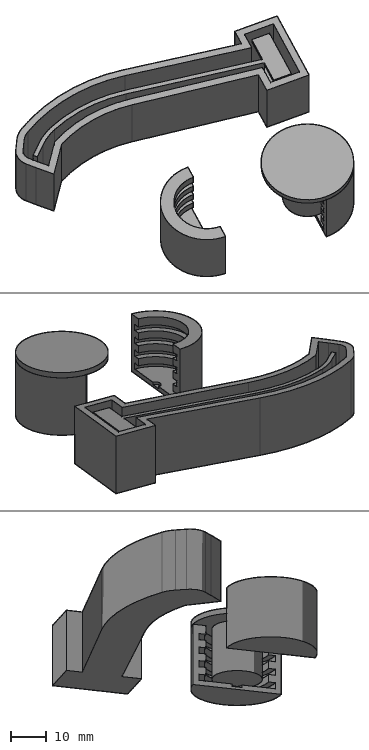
import cadquery as cq
import math


BODY_HEIGHT = 17.9

BLOCK_WIDTH = 22.1
BLOCK_DEPTH = 13.0
WALL = 2.1
LEG_CENTRE = (48.9, -54.5)
LEG_LEFT_RADIUS = 50.1
LEG_RIGHT_RADIUS = 37.95
LEG_LEFT_TILT = 8.8
LEG_RIGHT_TILT = 7.7
LEFT_BEND_END_Y = -82.7
TOE = (15.1, -86.9)
SOLE_ROUNDING = 8.1
TOE_ROUNDING = 5.0
TOE_SIDE_BEND = (20.1, -82.6)
TIP = (24.1, -78.9)
HEEL_Y = -72.8

DIVIDER_DROP = 1.5
PLATE_WIDTH = 15.1
PLATE_THICKNESS = 1.0
PLATE_DEPTH = 5.4
PLATE_LEFT = 3.6
PLATE_BACK = -3.95
FIN_THICKNESS = 1.3
FIN_START_X = 11.6
FIN_BEND_START = (5.7, -48.9)
FIN_BEND_END = (8.75, -72.4)
FIN_CURL_END = (12.5, -77.8)
FIN_END = (15.45, -80.8)

CASE_RADIUS = 13.0
CASE_BORE_RADIUS = 9.2
CASE_FLOOR = 1.5
CASE_X = 50.05
FRONT_CASE_Y = -43.7
AXLE_RECESS_RADIUS = 1.5
AXLE_RECESS_DEPTH = CASE_FLOOR / 2
GROOVE_RADIUS = 11.2
GROOVE_HEIGHT = 1.8
GROOVE_PITCH = 4.0
GROOVE_COUNT = 4

KNOB_Y = -CASE_RADIUS
CAP_THICKNESS = 1.6
DRUM_RADIUS = 7.0
DRUM_BOTTOM = 3.0


def on_bend(radius, angle):
    """Point on a leg bend, at an angle in degrees above the -X direction."""
    turn = math.radians(angle)
    return (LEG_CENTRE[0] - radius * math.cos(turn), LEG_CENTRE[1] + radius * math.sin(turn))


def bend_angle(radius, y):
    """Angle in degrees above the -X direction at which a leg bend reaches a given Y."""
    return math.degrees(math.asin((y - LEG_CENTRE[1]) / radius))


def top_of_leg_side(bend_start, tilt):
    """Point where a straight leg side, tangent to its bend, meets the front of the head block."""
    rise = -BLOCK_DEPTH - bend_start[1]
    return (bend_start[0] + rise * math.tan(math.radians(tilt)), -BLOCK_DEPTH)


def tray_outline():
    left_bend_start = on_bend(LEG_LEFT_RADIUS, LEG_LEFT_TILT)
    left_bend_end = on_bend(LEG_LEFT_RADIUS, bend_angle(LEG_LEFT_RADIUS, LEFT_BEND_END_Y))
    heel_angle = bend_angle(LEG_RIGHT_RADIUS, HEEL_Y)
    heel = on_bend(LEG_RIGHT_RADIUS, heel_angle)
    right_bend_middle = on_bend(LEG_RIGHT_RADIUS, (heel_angle + LEG_RIGHT_TILT) / 2)
    right_bend_start = on_bend(LEG_RIGHT_RADIUS, LEG_RIGHT_TILT)
    return (
        cq.Workplane("XY")
        .moveTo(0, 0)
        .lineTo(0, -BLOCK_DEPTH)
        .lineTo(*top_of_leg_side(left_bend_start, LEG_LEFT_TILT))
        .lineTo(*left_bend_start)
        .tangentArcPoint(left_bend_end, relative=False)
        .lineTo(*TOE)
        .lineTo(*TOE_SIDE_BEND)
        .lineTo(*TIP)
        .lineTo(*heel)
        .threePointArc(right_bend_middle, right_bend_start)
        .lineTo(*top_of_leg_side(right_bend_start, LEG_RIGHT_TILT))
        .lineTo(BLOCK_WIDTH, -BLOCK_DEPTH)
        .lineTo(BLOCK_WIDTH, 0)
        .close()
    )


def make_tray():
    body = tray_outline().extrude(BODY_HEIGHT)
    sole = on_bend(LEG_LEFT_RADIUS, bend_angle(LEG_LEFT_RADIUS, LEFT_BEND_END_Y))
    for corner, radius in ((sole, SOLE_ROUNDING), (TOE, TOE_ROUNDING)):
        nearest_edge = cq.selectors.NearestToPointSelector((*corner, BODY_HEIGHT / 2))
        body = body.edges("|Z").edges(nearest_edge).fillet(radius)
    return body.faces(">Z").shell(-WALL, "intersection")


def make_divider():
    top = BODY_HEIGHT - DIVIDER_DROP
    plate_front = PLATE_BACK - PLATE_DEPTH
    plate = (
        cq.Workplane("XY", origin=(PLATE_LEFT, plate_front, top - PLATE_THICKNESS))
        .rect(PLATE_WIDTH, PLATE_DEPTH, centered=False)
        .extrude(PLATE_THICKNESS)
    )
    slope = (FIN_START_X - FIN_BEND_START[0]) / (plate_front - FIN_BEND_START[1])
    sweep_start = (FIN_START_X + FIN_THICKNESS * slope, plate_front + FIN_THICKNESS)
    fin_height = top - WALL
    middle_z = WALL + fin_height / 2
    fin_path = (
        cq.Workplane("XY", origin=(0, 0, middle_z))
        .moveTo(*sweep_start)
        .lineTo(*FIN_BEND_START)
        .tangentArcPoint(FIN_BEND_END, relative=False)
        .tangentArcPoint(FIN_CURL_END, relative=False)
        .lineTo(*FIN_END)
    )
    section_plane = cq.Plane(origin=(*sweep_start, middle_z), xDir=(1, -slope, 0), normal=(-slope, -1, 0))
    fin = cq.Workplane(section_plane).rect(FIN_THICKNESS, fin_height).sweep(fin_path, transition="right")
    trim = (
        cq.Workplane("XY", origin=(0, plate_front, 0))
        .rect(BLOCK_WIDTH, BLOCK_DEPTH, centered=False)
        .extrude(BODY_HEIGHT)
    )
    return plate.union(fin.cut(trim))


def make_half_case():
    """Half case around the Z axis, on the -Y side of its flat face."""
    case = cq.Workplane("XY").circle(CASE_RADIUS).extrude(BODY_HEIGHT)
    bore_plane = cq.Workplane("XY").workplane(offset=CASE_FLOOR)
    bore = bore_plane.circle(CASE_BORE_RADIUS).extrude(BODY_HEIGHT)
    axle_recess = (
        cq.Workplane("XY")
        .workplane(offset=CASE_FLOOR - AXLE_RECESS_DEPTH)
        .circle(AXLE_RECESS_RADIUS)
        .extrude(AXLE_RECESS_DEPTH)
    )
    case = case.cut(bore).cut(axle_recess)
    for i in range(GROOVE_COUNT):
        groove_bottom = CASE_FLOOR + i * GROOVE_PITCH
        groove_plane = cq.Workplane("XY").workplane(offset=groove_bottom)
        groove = groove_plane.circle(GROOVE_RADIUS).extrude(GROOVE_HEIGHT)
        case = case.cut(groove)
    back_half = (
        cq.Workplane("XY")
        .rect(2 * CASE_RADIUS, CASE_RADIUS)
        .extrude(BODY_HEIGHT)
        .translate((0, CASE_RADIUS / 2, 0))
    )
    return case.cut(back_half)


def make_knob():
    drum_height = BODY_HEIGHT - DRUM_BOTTOM
    drum = cq.Workplane("XY").workplane(offset=DRUM_BOTTOM).circle(DRUM_RADIUS).extrude(drum_height)
    cap = cq.Workplane("XY").workplane(offset=BODY_HEIGHT).circle(CASE_RADIUS).extrude(CAP_THICKNESS)
    return cap.union(drum).translate((CASE_X, KNOB_Y, 0))


tray = make_tray()
divider = make_divider()
knob = make_knob()

half_cases = []
for case_y, turn in ((FRONT_CASE_Y, 0), (KNOB_Y, 180)):
    half_case = make_half_case().rotate((0, 0, 0), (0, 0, 1), turn).translate((CASE_X, case_y, 0))
    half_cases.append(half_case.val())

result = cq.Compound.makeCompound([tray.val(), divider.val(), knob.val(), *half_cases])